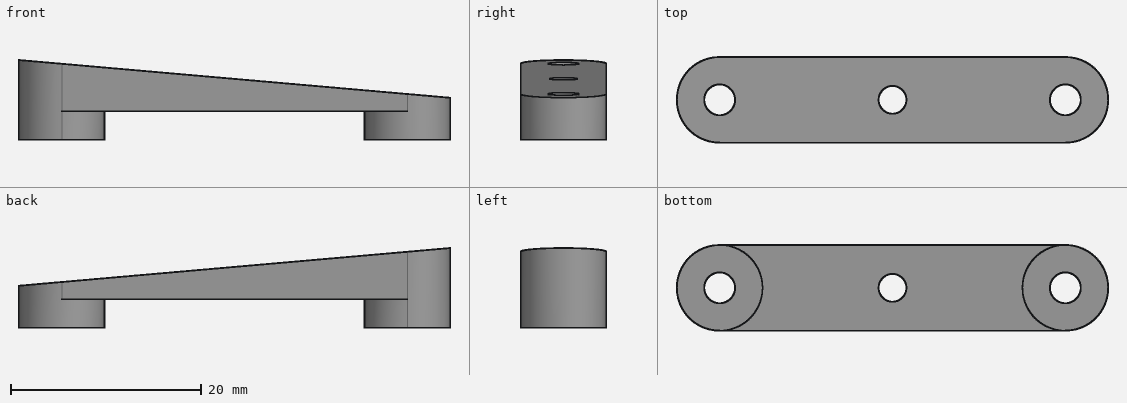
import cadquery as cq
import math

length = 45.35
width = 9.0
height = 8.4
slope_angle = 5.0
bar_underside = 3.0
end_hole_diameter = 3.2
middle_hole_diameter = 2.9

half_length = length / 2
end_centre = (length - width) / 2
slope = math.tan(math.radians(slope_angle))
end_centres = [(-end_centre, 0), (end_centre, 0)]


def wedge():
    """Sloping side outline of the bar, wider than the bar so that it only trims the top."""
    return (
        cq.Workplane("XZ")
        .moveTo(-length, 0)
        .lineTo(length, 0)
        .lineTo(length, height - (length + half_length) * slope)
        .lineTo(-length, height + half_length * slope)
        .close()
        .extrude(width, both=True)
    )


def round_ended_block():
    return cq.Workplane("XY").slot2D(length, width).extrude(height)


def underside_gap():
    """Space below the bar, bounded at each end by a round foot."""
    gap = cq.Workplane("XY").rect(2 * end_centre, 2 * width).extrude(bar_underside)
    feet = cq.Workplane("XY").pushPoints(end_centres).circle(width / 2).extrude(bar_underside)
    return gap.cut(feet)


def through_holes(centres, diameter):
    return cq.Workplane("XY").pushPoints(centres).circle(diameter / 2).extrude(height)


body = round_ended_block().intersect(wedge()).cut(underside_gap())
end_holes = through_holes(end_centres, end_hole_diameter)
middle_hole = through_holes([(0, 0)], middle_hole_diameter)
result = body.cut(end_holes).cut(middle_hole)